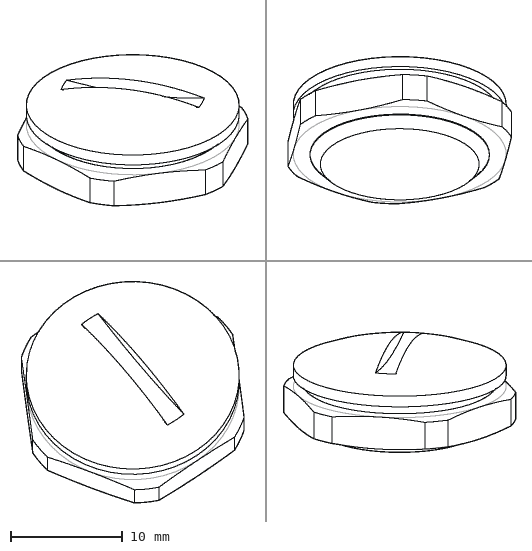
import cadquery as cq
import math

across_flats = 19.0
across_corners = 20.8
nut_bottom = 1.0
nut_height = 3.0
nut_edge_drop = 0.25
shank_diameter = 16.0
shank_chamfer = 0.91
collar_diameter = 17.92
collar_height = 1.0
collar_round = 1.1
head_diameter = 19.0
rim_height = 1.0
dome_height = 2.02
slot_width = 1.83
slot_length = 12.9
slot_end_depth = 0.9
slot_middle_depth = 1.41

nut_top = nut_bottom + nut_height
collar_top = nut_top + collar_height
rim_top = collar_top + rim_height
head_top = rim_top + dome_height
head_radius = head_diameter / 2
dome_radius = (head_radius**2 + dome_height**2) / (2 * dome_height)


def make_shank():
    """Round shank with a chamfered free end, reaching up to the head."""
    shank = cq.Workplane("XY").circle(shank_diameter / 2).extrude(collar_top)
    return shank.faces("<Z").edges().chamfer(shank_chamfer)


def make_collar():
    """Rounded sealing collar between nut and head, narrowing toward the nut."""
    collar_radius = collar_diameter / 2
    arc_centre = collar_radius - collar_round
    end_angle = math.asin(collar_height / collar_round)

    def arc_point(angle):
        return (
            arc_centre + collar_round * math.cos(angle),
            collar_top - collar_round * math.sin(angle),
        )

    return (
        cq.Workplane("XZ")
        .moveTo(0, nut_top)
        .lineTo(*arc_point(end_angle))
        .threePointArc(arc_point(end_angle / 2), (collar_radius, collar_top))
        .lineTo(0, collar_top)
        .close()
        .revolve(360, (0, 0), (0, 1))
    )


def make_head():
    """Cylindrical rim topped by a spherical dome."""
    half_angle = math.asin(head_radius / dome_radius) / 2
    arc_middle = (
        dome_radius * math.sin(half_angle),
        head_top - dome_radius * (1 - math.cos(half_angle)),
    )
    return (
        cq.Workplane("XZ")
        .moveTo(0, collar_top)
        .lineTo(head_radius, collar_top)
        .lineTo(head_radius, rim_top)
        .threePointArc(arc_middle, (0, head_top))
        .close()
        .revolve(360, (0, 0), (0, 1))
    )


def make_slot():
    """Screwdriver slot along X whose floor is an arc that dips toward the middle."""
    half_length = slot_length / 2
    end_level = head_top - slot_end_depth
    return (
        cq.Workplane("XZ")
        .moveTo(-half_length, end_level)
        .threePointArc((0, head_top - slot_middle_depth), (half_length, end_level))
        .lineTo(half_length, head_top)
        .lineTo(-half_length, head_top)
        .close()
        .extrude(slot_width / 2, both=True)
    )


def make_plug():
    """Slotted plug: shank, collar and domed head in one piece."""
    return make_shank().union(make_collar()).union(make_head()).cut(make_slot())


def make_nut():
    """Hexagon nut with flats facing +X and -X, rounded corners and bevelled ends."""
    hexagon = (
        cq.Workplane("XY")
        .workplane(offset=nut_bottom)
        .polygon(6, across_flats, circumscribed=True)
        .extrude(nut_height)
    )
    bevel_width = (across_corners - across_flats) / 2
    bevelled_disc = (
        cq.Workplane("XY")
        .workplane(offset=nut_bottom)
        .circle(across_corners / 2)
        .extrude(nut_height)
        .faces("<Z or >Z")
        .edges()
        .chamfer(nut_edge_drop, bevel_width)
    )
    bore = cq.Workplane("XY").circle(shank_diameter / 2).extrude(nut_top)
    return hexagon.intersect(bevelled_disc).cut(bore)


plug = make_plug()
nut = make_nut()
result = cq.Compound.makeCompound([plug.val(), nut.val()])